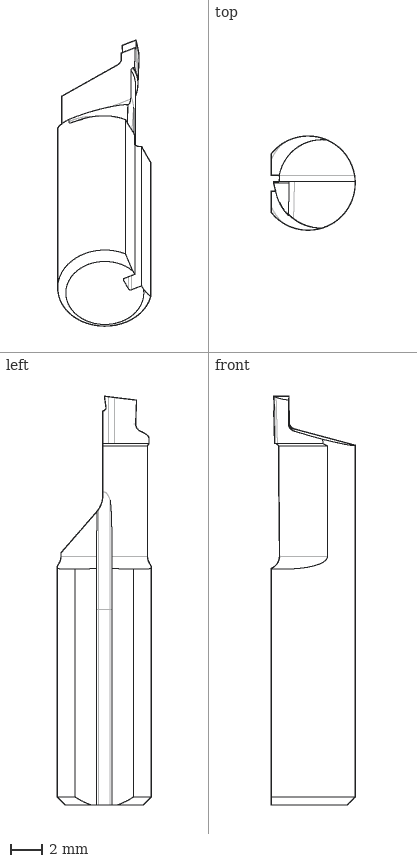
import cadquery as cq
import math

total_length = 26.0
shank_radius = 3.0
flat_x = -2.35
end_chamfer = 0.52

neck_center_x = 0.88
neck_radius = 2.76
flare_radius = 0.8
flare_bottom_z = 15.0

slot_width = 1.0
slot_floor_x = -1.5
slot_corner_radius = 0.13
slot_ramp_start_z = 12.45
slot_ramp_end_z = 19.9

head_bottom_z = 22.98
head_collar_height = 0.14
neck_top_z = head_bottom_z - head_collar_height
head_center_x = 0.82
head_radius = 2.85
head_flare = 0.08
tip_x = -2.14
primary_flank_end = (-2.06, -0.27)
secondary_flank_y = -0.66

rake_face_y = 0.1
ramp_corner_z = 19.09
ramp_angle = 41.0
ramp_blend_radius = 1.6

tooth_back_x = -1.2
shoulder_end_z = 22.88
shoulder_angle = 15.0
tooth_root_radius = 0.45
side_relief = 0.025
shoulder_relief = 0.055
top_relief_angle = 7.0
chip_groove_depth = 0.1
chip_groove_bottom_z = 25.06
chip_groove_arc_start_z = 25.3

clearance = 1.0
cut_reach = 4.0


def prism_along_x(profile):
    """Extrude a closed YZ profile across the whole width of the part."""
    return profile.close().extrude(cut_reach, both=True)


def make_shank(height):
    shank = cq.Workplane("XY").circle(shank_radius).extrude(height)
    shank = shank.faces("<Z").chamfer(end_chamfer)
    flat_cut = cq.Workplane("XY").box(
        cut_reach, 2 * cut_reach, height, centered=(False, True, False)
    )
    return shank.cut(flat_cut.translate((flat_x - cut_reach, 0, 0)))


def make_neck_envelope(top_z):
    """Solid of revolution about the neck axis that trims the shank down to the neck."""
    envelope_radius = 2 * shank_radius
    neck_start_z = flare_bottom_z + flare_radius
    flare_outer = neck_radius + flare_radius
    diagonal = flare_radius * math.sqrt(0.5)
    return (
        cq.Workplane("XZ")
        .moveTo(0, 0)
        .lineTo(envelope_radius, 0)
        .lineTo(envelope_radius, flare_bottom_z)
        .lineTo(flare_outer, flare_bottom_z)
        .threePointArc(
            (flare_outer - diagonal, neck_start_z - diagonal),
            (neck_radius, neck_start_z),
        )
        .lineTo(neck_radius, top_z)
        .lineTo(0, top_z)
        .close()
        .revolve(360, (0, 0, 0), (0, 1, 0))
        .translate((neck_center_x, 0, 0))
    )


def make_slot():
    """Slot with rounded floor corners, of even depth at first and then ramping up to the neck."""
    neck_edge_x = neck_center_x - neck_radius
    ramp_run = slot_ramp_end_z - slot_ramp_start_z
    ramp_slope = (neck_edge_x - slot_floor_x) / ramp_run
    end_z = slot_ramp_end_z + clearance
    end_x = neck_edge_x + ramp_slope * clearance
    return (
        cq.Workplane("XZ")
        .moveTo(-cut_reach, -clearance)
        .lineTo(slot_floor_x, -clearance)
        .lineTo(slot_floor_x, slot_ramp_start_z)
        .lineTo(end_x, end_z)
        .lineTo(-cut_reach, end_z)
        .close()
        .extrude(slot_width / 2, both=True)
        .edges(cq.selectors.BoxSelector(
            (end_x - slot_corner_radius, -slot_width, -clearance),
            (slot_floor_x + slot_corner_radius, slot_width, end_z),
        ))
        .edges("not |Y")
        .fillet(slot_corner_radius)
    )


def head_section(z, growth):
    """Head cross-section at height z, with its round and its facets moved out by growth."""
    radius = head_radius + growth
    secondary_x = head_center_x - math.sqrt(radius**2 - secondary_flank_y**2)
    head_end_x = head_center_x + radius
    primary_x, primary_y = primary_flank_end
    return (
        cq.Workplane("XY", origin=(0, 0, z))
        .moveTo(tip_x - growth, rake_face_y)
        .lineTo(primary_x - growth, primary_y)
        .lineTo(secondary_x, secondary_flank_y)
        .threePointArc((head_center_x, -radius), (head_end_x, 0))
        .lineTo(head_end_x, rake_face_y)
        .close()
        .wire()
        .val()
    )


def make_head():
    sections = [head_section(head_bottom_z, 0), head_section(total_length, head_flare)]
    head = cq.Workplane(cq.Solid.makeLoft(sections, True))
    collar = (
        cq.Workplane("XY")
        .workplane(offset=neck_top_z)
        .center(neck_center_x, 0)
        .circle(neck_radius)
        .workplane(offset=head_collar_height)
        .center(head_center_x - neck_center_x, 0)
        .circle(head_radius)
        .loft()
    )
    bar = cq.Workplane("XY").circle(shank_radius).extrude(total_length)
    return collar.union(head).intersect(bar)


def make_rake_face_cut():
    """Everything beyond the flat face on its +Y side, and above its curved run-out ramp."""
    angle = math.radians(ramp_angle)
    tangent = ramp_blend_radius * math.tan(angle / 2)
    blend_start_z = ramp_corner_z + tangent
    arc_center_y = rake_face_y + ramp_blend_radius

    def on_blend(turn):
        return (
            arc_center_y - ramp_blend_radius * math.cos(turn),
            blend_start_z - ramp_blend_radius * math.sin(turn),
        )

    ramp_end_z = ramp_corner_z - (cut_reach - rake_face_y) / math.tan(angle)
    top_z = total_length + clearance
    return prism_along_x(
        cq.Workplane("YZ")
        .moveTo(rake_face_y, top_z)
        .lineTo(rake_face_y, blend_start_z)
        .threePointArc(on_blend(angle / 2), on_blend(angle))
        .lineTo(cut_reach, ramp_end_z)
        .lineTo(cut_reach, top_z)
    )


def make_shoulder_cut():
    """Space behind the tooth; it is swept obliquely so both its walls are relieved."""
    angle = math.radians(shoulder_angle)
    slope = math.tan(angle)
    corner_z = shoulder_end_z + slope * (shank_radius - tooth_back_x)
    far_z = shoulder_end_z - slope * (cut_reach - shank_radius)
    top_z = total_length + clearance
    half_turn = (math.pi / 2 - angle) / 2
    tangent = tooth_root_radius * math.tan(half_turn)
    root_start = (tooth_back_x, corner_z + tangent)
    root_mid = (
        tooth_back_x + tooth_root_radius * (1 - math.cos(half_turn)),
        corner_z + tangent - tooth_root_radius * math.sin(half_turn),
    )
    root_end = (
        tooth_back_x + tangent * math.cos(angle),
        corner_z - tangent * math.sin(angle),
    )
    profile = (
        cq.Workplane("XZ", origin=(0, rake_face_y, 0))
        .moveTo(tooth_back_x, top_z)
        .lineTo(*root_start)
        .threePointArc(root_mid, root_end)
        .lineTo(cut_reach, far_z)
        .lineTo(cut_reach, top_z)
        .close()
        .wire()
        .val()
    )
    sweep = cq.Vector(-side_relief, -1, -shoulder_relief) * cut_reach
    return cq.Workplane(cq.Solid.extrudeLinear(profile, [], sweep))


def make_top_relief_cut():
    drop = cut_reach * math.tan(math.radians(top_relief_angle))
    return prism_along_x(
        cq.Workplane("YZ")
        .moveTo(0, total_length)
        .lineTo(-cut_reach, total_length - drop)
        .lineTo(-cut_reach, total_length + clearance)
        .lineTo(0, total_length + clearance)
    )


def make_chip_groove():
    """Rake face that leans back from the cutting edge and curls out at its foot."""
    arc_inset = (chip_groove_depth + rake_face_y) / 4
    arc_height = chip_groove_arc_start_z - chip_groove_bottom_z
    return prism_along_x(
        cq.Workplane("YZ")
        .moveTo(0, total_length)
        .lineTo(-chip_groove_depth, chip_groove_arc_start_z)
        .threePointArc(
            (-chip_groove_depth + arc_inset, chip_groove_bottom_z + arc_height / 4),
            (rake_face_y, chip_groove_bottom_z),
        )
        .lineTo(rake_face_y + clearance, chip_groove_bottom_z)
        .lineTo(rake_face_y + clearance, total_length + clearance)
        .lineTo(0, total_length + clearance)
    )


body = make_shank(neck_top_z).intersect(make_neck_envelope(neck_top_z))
body = body.union(make_head())
body = body.cut(make_slot())
body = body.cut(make_rake_face_cut())
body = body.cut(make_shoulder_cut())
body = body.cut(make_top_relief_cut())
result = body.cut(make_chip_groove())